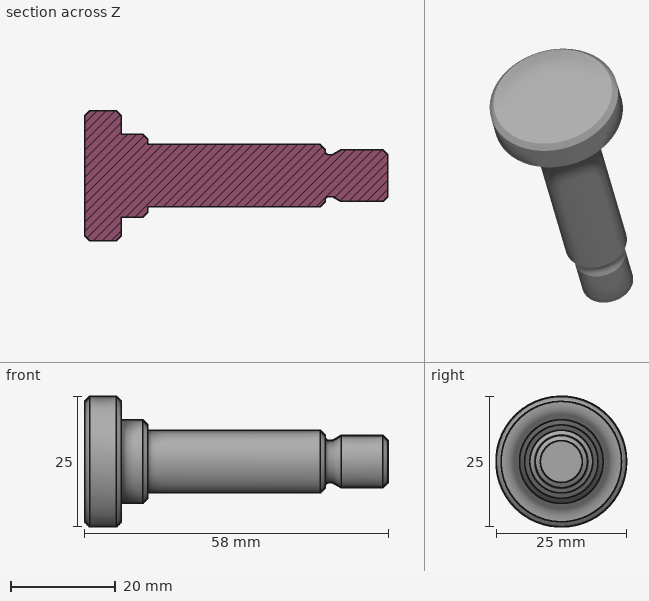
import math

import cadquery as cq

total_length = 58.0
chamfer = 1.0

head_diameter = 25.0
head_end = 7.0
collar_diameter = 16.0
collar_end = 12.05
shank_diameter = 12.0
shank_end = 46.0
tip_diameter = 10.0
tip_start = 49.0

groove_diameter = 8.1
groove_fillet = 0.6
cone_angle = math.radians(30)


def cylinder(diameter, start, end):
    """Solid cylinder along X from start to end."""
    return cq.Workplane("YZ", origin=(start, 0, 0)).circle(diameter / 2).extrude(end - start)


def groove_and_tip():
    """Groove floor with rounded corners, the cone leaving it and the chamfered tip."""
    tip_radius = tip_diameter / 2
    floor_radius = groove_diameter / 2
    fillet_center_radius = floor_radius + groove_fillet

    cone_foot = tip_start - (tip_radius - floor_radius) / math.tan(cone_angle)
    floor_end = cone_foot - groove_fillet * math.tan(cone_angle / 2)
    floor_start = shank_end + groove_fillet

    def fillet_point(center_x, angle):
        """Point on a floor fillet, at a signed angle from its lowest point."""
        return (
            center_x + groove_fillet * math.sin(angle),
            fillet_center_radius - groove_fillet * math.cos(angle),
        )

    return (
        cq.Workplane("XY")
        .moveTo(shank_end, 0)
        .lineTo(shank_end, fillet_center_radius)
        .threePointArc(fillet_point(floor_start, -math.pi / 4), (floor_start, floor_radius))
        .lineTo(floor_end, floor_radius)
        .threePointArc(fillet_point(floor_end, cone_angle / 2), fillet_point(floor_end, cone_angle))
        .lineTo(tip_start, tip_radius)
        .lineTo(total_length - chamfer, tip_radius)
        .lineTo(total_length, tip_radius - chamfer)
        .lineTo(total_length, 0)
        .close()
        .revolve(360, (0, 0, 0), (1, 0, 0))
    )


head = cylinder(head_diameter, 0, head_end).edges("%CIRCLE").chamfer(chamfer)
collar = cylinder(collar_diameter, head_end, collar_end).faces(">X").edges().chamfer(chamfer)
shank = cylinder(shank_diameter, collar_end, shank_end).faces(">X").edges().chamfer(chamfer)

result = head.union(collar).union(shank).union(groove_and_tip())